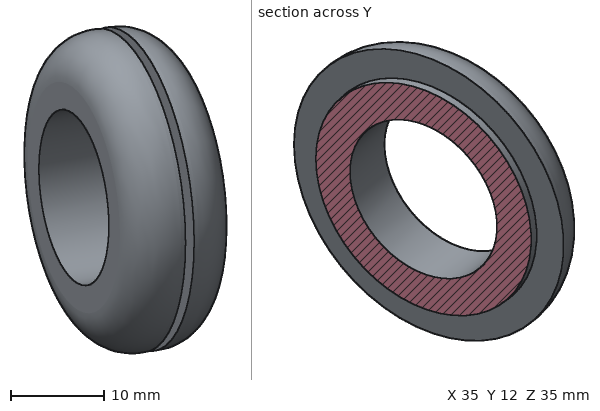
import cadquery as cq

outer_diameter = 35.0
bore_diameter = 19.0
width = 12.0
edge_radius = 5.0
groove_diameter = 28.0
groove_width = 1.0


def centred_disc(diameter, thickness):
    """Disc about the Y axis, centred on the origin."""
    base_plane = cq.Workplane("XZ", origin=(0, thickness / 2, 0))
    return base_plane.circle(diameter / 2).extrude(thickness)


def make_body():
    """Solid disc with both outer edges rounded."""
    return centred_disc(outer_diameter, width).edges("%CIRCLE").fillet(edge_radius)


def make_bore():
    """Cylinder that opens the hole through the full width."""
    return centred_disc(bore_diameter, width)


def make_groove():
    """Flat ring that cuts the groove around the middle of the rim."""
    rim_slice = centred_disc(outer_diameter, groove_width)
    return rim_slice.cut(centred_disc(groove_diameter, groove_width))


result = make_body().cut(make_bore()).cut(make_groove())